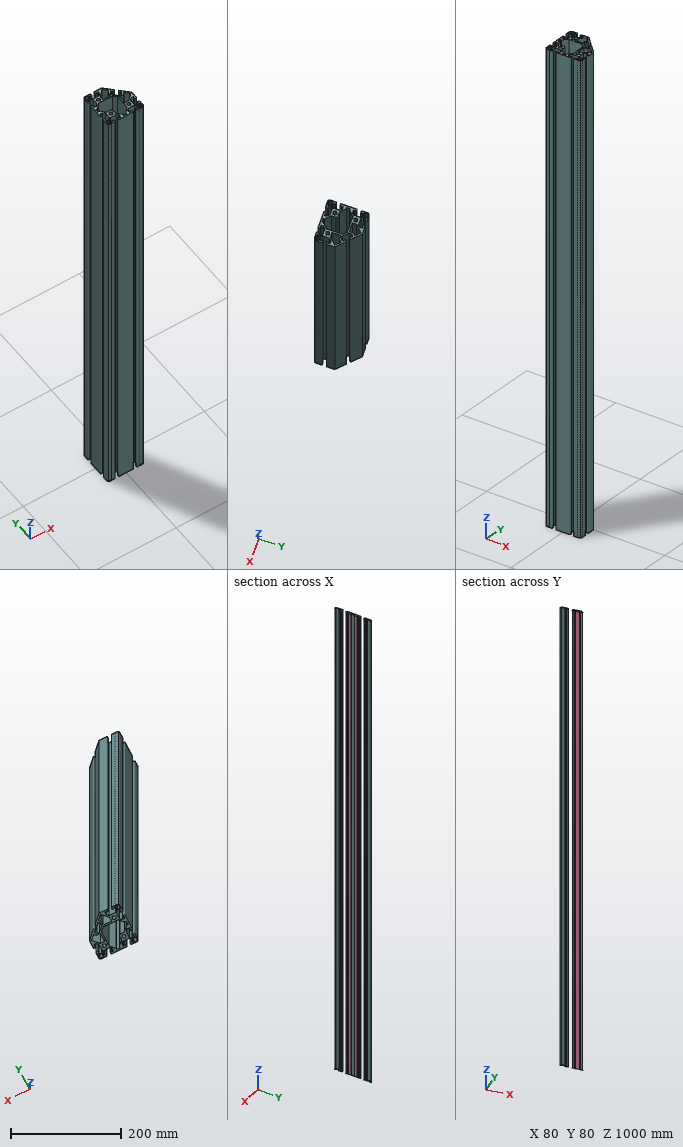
import cadquery as cq
import math

side = 80.0
length = 1000.0
half = side / 2
bevel = 39.3
bevel_mid = half - bevel / 2
corner_radius = 4.1

slot_center = 20.0
slot_mouth = 8.0
mouth_radius = 1.0
lip = 3.7
nose_depth = 4.5
nose_width = 3.1
slot_width = 20.1
shoulder_depth = 8.5
slot_depth = 12.25
flank_sum = slot_width / 2 + shoulder_depth

skin = 3.5
bevel_skin = 3.4
web = 3.2
flank_wall = 3.0
pocket_wall = 4.1

core_bore = 6.8
core_face = 12.87
core_chamfer = 2.3
end_half_width = 3.2
corner_hollow = 6.8
corner_hollow_center = 34.6

square_corners = [(-1, 1), (-1, -1), (1, -1)]
inner_skin = half - skin
flank_line = slot_center + half - flank_sum - flank_wall * math.sqrt(2)


def prism(points):
    """Full-length prism on a closed polygon."""
    return cq.Workplane("XY").polyline(points).close().extrude(length)


def mirrored(points):
    """Points mirrored across the diagonal plane X = Y, in reverse order."""
    return [(y, x) for x, y in reversed(points)]


def blank():
    """Square bar with one large bevel and three rounded corners."""
    bar = prism([
        (-half, -half),
        (half, -half),
        (half, half - bevel),
        (half - bevel, half),
        (-half, half),
    ])
    for sx, sy in square_corners:
        corner = cq.selectors.NearestToPointSelector((sx * half, sy * half, length / 2))
        bar = bar.edges(corner).fillet(corner_radius)
    return bar


def slot_cutter(x, y, angle):
    """T-slot with its mouth at (x, y); it opens toward +Y, turned counterclockwise by angle."""
    mouth = slot_mouth / 2
    nose = mouth + nose_width
    wide = slot_width / 2
    arc_offset = mouth_radius * (1 - math.sqrt(0.5))
    right_side = [
        (mouth, -nose_depth),
        (nose, -nose_depth),
        (nose + nose_depth - lip, -lip),
        (wide, -lip),
        (wide, -shoulder_depth),
        (flank_sum - slot_depth, -slot_depth),
    ]
    left_side = [(-px, py) for px, py in reversed(right_side)]
    outline = cq.Workplane("XY").moveTo(mouth + mouth_radius, 0)
    outline = outline.threePointArc((mouth + arc_offset, -arc_offset), (mouth, -mouth_radius))
    for point in right_side + left_side:
        outline = outline.lineTo(*point)
    outline = outline.lineTo(-mouth, -mouth_radius)
    outline = outline.threePointArc((-mouth - arc_offset, -arc_offset), (-mouth - mouth_radius, 0))
    cutter = outline.close().extrude(length)
    return cutter.rotate((0, 0, 0), (0, 0, 1), angle).translate((x, y, 0))


def main_hollow():
    """Large L-shaped hollow, symmetric about the plane X = Y."""
    flank_start = core_face - flank_line
    flank_end = end_half_width - flank_line
    x_arm = [
        (-core_face - core_chamfer, -core_face),
        (flank_start, -core_face),
        (flank_end, -end_half_width),
        (-inner_skin, -end_half_width),
        (-inner_skin, end_half_width),
        (flank_end, end_half_width),
        (flank_start, core_face),
    ]
    cut_sum = 2 * bevel_mid - (slot_depth + web) * math.sqrt(2)
    x_arm.append((cut_sum - core_face, core_face))
    return prism(x_arm + mirrored(x_arm))


def side_hollow_outline():
    """Hollow between the core in the -X +Y quarter and the bevel slot."""
    floor = core_face + web
    right = bevel_mid - flank_sum / math.sqrt(2) - flank_wall
    bevel_sum = 2 * bevel_mid - bevel_skin * math.sqrt(2)
    pocket_start = right + (slot_width / 2 + pocket_wall) * math.sqrt(2)
    pocket_run = (bevel_sum - right - pocket_start) / 2
    return [
        (-core_face, floor),
        (-core_face, flank_line - core_face),
        (inner_skin - flank_line, inner_skin),
        (bevel_sum - inner_skin, inner_skin),
        (right + pocket_run, pocket_start + pocket_run),
        (right, pocket_start),
        (right, floor),
    ]


def core_bores():
    centers = [(sx * slot_center, sy * slot_center) for sx, sy in square_corners]
    return cq.Workplane("XY").pushPoints(centers).circle(core_bore / 2).extrude(length)


def corner_hollows():
    centers = [(sx * corner_hollow_center, sy * corner_hollow_center) for sx, sy in square_corners]
    return cq.Workplane("XY").pushPoints(centers).rect(corner_hollow, corner_hollow).extrude(length)


slots = [
    (-slot_center, half, 0),
    (-half, slot_center, 90),
    (-half, -slot_center, 90),
    (-slot_center, -half, 180),
    (slot_center, -half, 180),
    (half, -slot_center, 270),
    (bevel_mid, bevel_mid, 315),
]

result = blank()
for x, y, angle in slots:
    result = result.cut(slot_cutter(x, y, angle))
result = result.cut(core_bores())
result = result.cut(corner_hollows())
result = result.cut(main_hollow())
result = result.cut(prism(side_hollow_outline()))
result = result.cut(prism(mirrored(side_hollow_outline())))